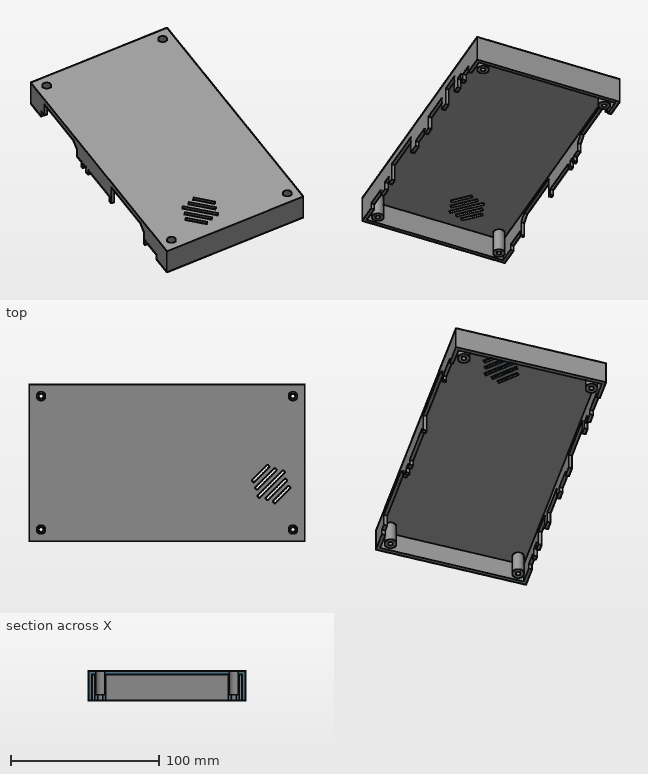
import cadquery as cq

LENGTH = 186.0
WIDTH = 106.0
HEIGHT = 20.0
WALL = 2.5
PLATE = 2.5

SCREW_INSET = 8.0
POST_DIAMETER = 8.0
SCREW_HOLE_DIAMETER = 3.2
SCREW_HEAD_DIAMETER = 6.0
SCREW_SEAT = 4.0

OPENING_STARTS = (18.8, 110.1)
OPENING_WIDTH = 44.3
OPENING_HEIGHT = 15.3
OPENING_CHAMFER_X = 5.0
OPENING_CHAMFER_Z = 4.3

LEFT_NOTCH = (14.3, 23.0, 4.8)
RIGHT_NOTCH = (156.0, 171.5, 4.3)
SHALLOW_NOTCH = 4.3
FRONT_NOTCHES = (
    LEFT_NOTCH,
    (62.3, 69.0, SHALLOW_NOTCH),
    (71.2, 75.1, SHALLOW_NOTCH),
    (78.5, 107.5, SHALLOW_NOTCH),
    RIGHT_NOTCH,
)
TALL_NOTCH = 13.4
BACK_NOTCHES = (
    LEFT_NOTCH,
    (26.2, 31.8, 7.5),
    (36.8, 51.2, TALL_NOTCH),
    (57.3, 78.9, 9.9),
    (85.2, 99.5, SHALLOW_NOTCH),
    (107.1, 138.2, TALL_NOTCH),
    (143.0, 149.2, 6.0),
    RIGHT_NOTCH,
)

GRILLE_X = 70.3
GRILLE_Y = -14.3
GRILLE_ANGLE = 45
SLOT_WIDTH = 2.0
SLOT_PITCH = 5.0
SLOT_LENGTHS = (15.0, 19.0, 24.5, 19.0, 15.0)

LEFT_END = -LENGTH / 2
FRONT_FACE = -WIDTH / 2
BACK_INNER_FACE = WIDTH / 2 - WALL


def shell():
    outside = cq.Workplane("XY").box(LENGTH, WIDTH, HEIGHT, centered=(True, True, False))
    inside = cq.Workplane("XY").box(
        LENGTH - 2 * WALL, WIDTH - 2 * WALL, HEIGHT - PLATE, centered=(True, True, False)
    )
    return outside.cut(inside)


def wall_notch(start, end, height, wall_face):
    """Rectangular block through one wall whose lower-Y face is at wall_face."""
    corner = (LEFT_END + start, wall_face, 0)
    return cq.Workplane("XY").box(end - start, WALL, height, centered=False).translate(corner)


def front_opening(start):
    """Opening whose upper right corner is cut off at a slant."""
    left = LEFT_END + start
    right = left + OPENING_WIDTH
    outline = [
        (left, 0),
        (left, OPENING_HEIGHT),
        (right - OPENING_CHAMFER_X, OPENING_HEIGHT),
        (right, OPENING_HEIGHT - OPENING_CHAMFER_Z),
        (right, 0),
    ]
    front_plane = cq.Workplane("XZ", origin=(0, FRONT_FACE, 0))
    return front_plane.polyline(outline).close().extrude(-WALL)


def at_screws(workplane):
    spacing_x = LENGTH - 2 * SCREW_INSET
    spacing_y = WIDTH - 2 * SCREW_INSET
    return workplane.rect(spacing_x, spacing_y, forConstruction=True).vertices()


def grille_slots():
    slots = cq.Workplane("XY")
    middle = (len(SLOT_LENGTHS) - 1) / 2
    for index, slot_length in enumerate(SLOT_LENGTHS):
        offset = (middle - index) * SLOT_PITCH
        slot = cq.Workplane("XY").box(slot_length, SLOT_WIDTH, 2 * PLATE)
        slots = slots.union(slot.translate((0, offset, 0)))
    slots = slots.rotate((0, 0, 0), (0, 0, 1), GRILLE_ANGLE)
    return slots.translate((GRILLE_X, GRILLE_Y, HEIGHT))


result = shell()

for opening_start in OPENING_STARTS:
    result = result.cut(front_opening(opening_start))
for notch in FRONT_NOTCHES:
    result = result.cut(wall_notch(*notch, FRONT_FACE))
for notch in BACK_NOTCHES:
    result = result.cut(wall_notch(*notch, BACK_INNER_FACE))

base = cq.Workplane("XY")
result = result.union(at_screws(base).circle(POST_DIAMETER / 2).extrude(HEIGHT))
result = result.cut(at_screws(base).circle(SCREW_HOLE_DIAMETER / 2).extrude(HEIGHT))
seat_plane = base.workplane(offset=SCREW_SEAT)
result = result.cut(at_screws(seat_plane).circle(SCREW_HEAD_DIAMETER / 2).extrude(HEIGHT - SCREW_SEAT))

result = result.cut(grille_slots())